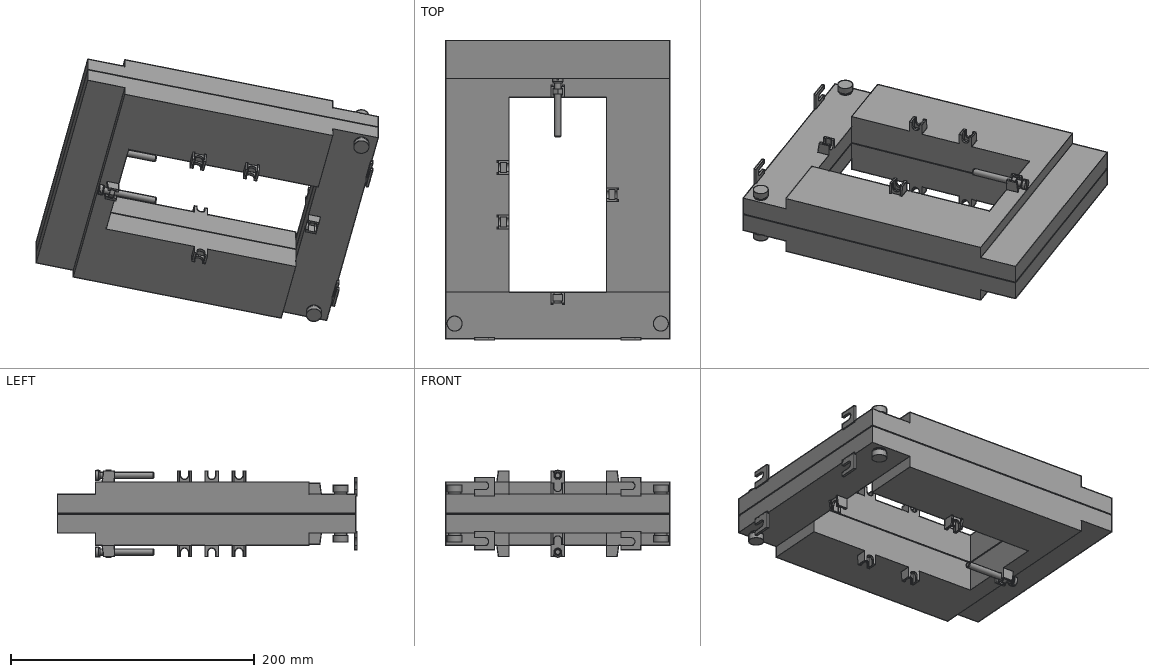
import cadquery as cq
import math


frame_width = 184.0
frame_length = 245.0
flange_top = 16.0
raised_top = 26.0
raised_front = 38.4
raised_back = 213.8
window_width = 80.0
window_back = 198.3
parting_gap = 0.7

bracket_width = 11.3
bracket_height = 9.0
bracket_top_depth = 8.9
bracket_base_depth = 10.0
bracket_wall = 1.6
pocket_start = 2.0
pocket_end = 7.1
screw_slot_radius = 3.2
screw_axis_height = 5.5
side_bracket_y = (raised_front + window_back) / 2
left_bracket_offset = 22.5

knob_x = 84.6
knob_y = 12.5
knob_radius = 6.2
knob_stem_radius = 5.2
knob_stem_height = 1.7
knob_height = 7.5

terminal_x = 60.0
terminal_width = 16.5
terminal_thickness = 2.0
terminal_bottom = 14.5
terminal_top = 29.8
terminal_slot_z = 23.0
terminal_slot_radius = 3.2
terminal_slot_length = 11.5

shank_radius = 2.7
screw_length = 48.0
tip_chamfer = 0.7
head_radius = 4.2
head_thickness = 2.7
shoulder_radius = 4.0
shoulder_thickness = 1.0
driver_slot_width = 1.5
driver_slot_depth = 1.2
nut_across_flats = 7.9
nut_thickness = 4.0
nut_offset = 2.7

screw_z = raised_top + screw_axis_height


def block(x_size, y_start, y_end, z_start, z_end):
    """Box centred on X, given by its limits along Y and Z."""
    box = cq.Workplane("XY").box(x_size, y_end - y_start, z_end - z_start, centered=(True, False, False))
    return box.translate((0, y_start, z_start))


def cylinder_along_y(radius, y_start, y_end, z):
    """Cylinder whose axis runs along Y at height z."""
    solid = cq.Solid.makeCylinder(radius, y_end - y_start, cq.Vector(0, y_start, z), cq.Vector(0, 1, 0))
    return cq.Workplane(obj=solid)


def frame():
    """Flat flange with a raised block, both pierced by the window."""
    flange = block(frame_width, 0, frame_length, parting_gap / 2, flange_top)
    raised = block(frame_width, raised_front, raised_back, flange_top, raised_top)
    window = block(window_width, raised_front, window_back, 0, raised_top)
    return flange.union(raised).cut(window)


def bracket():
    """Bracket standing on Z = 0, its window face on the XZ plane and its depth along +Y."""
    side_profile = [
        (0, 0),
        (bracket_base_depth, 0),
        (bracket_top_depth, bracket_height),
        (0, bracket_height),
    ]
    body = cq.Workplane("YZ").polyline(side_profile).close().extrude(bracket_width / 2, both=True)

    inner_width = bracket_width - 2 * bracket_wall
    body = body.cut(block(inner_width, bracket_top_depth, bracket_base_depth, 0, bracket_height))
    body = body.cut(block(inner_width, pocket_start, pocket_end, 0, bracket_height))

    slot = block(2 * screw_slot_radius, 0, bracket_base_depth, screw_axis_height, bracket_height)
    slot = slot.union(cylinder_along_y(screw_slot_radius, 0, bracket_base_depth, screw_axis_height))
    return body.cut(slot)


def placed_bracket(x, y, z, turn):
    """Bracket turned about Z by the given degrees and set down at a point on the window edge."""
    return bracket().rotate((0, 0, 0), (0, 0, 1), turn).translate((x, y, z))


def knob(x):
    """Round knob on a narrower stem."""
    base = cq.Workplane("XY").workplane(offset=flange_top).center(x, knob_y)
    stem = base.circle(knob_stem_radius).extrude(knob_stem_height)
    grip = base.workplane(offset=knob_stem_height).circle(knob_radius).extrude(knob_height - knob_stem_height)
    return stem.union(grip)


def terminal(x):
    """Upright plate, half sunk in the front face, with a round-ended slot open towards -X."""
    half_thickness = terminal_thickness / 2
    plate = block(terminal_width, -half_thickness, half_thickness, terminal_bottom, terminal_top)
    slot_start = -terminal_width / 2
    arc_centre = slot_start + terminal_slot_length - terminal_slot_radius
    slot = (
        cq.Workplane("XZ")
        .moveTo(slot_start, terminal_slot_z - terminal_slot_radius)
        .lineTo(arc_centre, terminal_slot_z - terminal_slot_radius)
        .threePointArc(
            (arc_centre + terminal_slot_radius, terminal_slot_z),
            (arc_centre, terminal_slot_z + terminal_slot_radius),
        )
        .lineTo(slot_start, terminal_slot_z + terminal_slot_radius)
        .close()
        .extrude(half_thickness, both=True)
    )
    return plate.cut(slot).translate((x, 0, 0))


def upper_housing():
    """Frame with its brackets, knobs and terminals as one solid."""
    window_side = window_width / 2
    brackets = [
        placed_bracket(0, window_back, raised_top, 0),
        placed_bracket(0, raised_front, flange_top, 180),
        placed_bracket(-window_side, side_bracket_y - left_bracket_offset, raised_top, 90),
        placed_bracket(-window_side, side_bracket_y + left_bracket_offset, raised_top, 90),
        placed_bracket(window_side, side_bracket_y, raised_top, -90),
    ]
    housing = frame()
    for item in brackets:
        housing = housing.union(item)
    for side in (-1, 1):
        housing = housing.union(knob(side * knob_x))
        housing = housing.union(terminal(side * terminal_x))
    return housing


def upper_screw():
    """Slotted screw lying in the back bracket, its nut in the bracket pocket."""
    head_end = raised_back
    shoulder_end = head_end - head_thickness
    shoulder_start = shoulder_end - shoulder_thickness
    tip = head_end - screw_length

    shank = cylinder_along_y(shank_radius, tip, shoulder_start, screw_z).faces("<Y").chamfer(tip_chamfer)
    shoulder = cylinder_along_y(shoulder_radius, shoulder_start, shoulder_end, screw_z)
    head = cylinder_along_y(head_radius, shoulder_end, head_end, screw_z)
    driver_slot = block(
        driver_slot_width,
        head_end - driver_slot_depth,
        head_end,
        screw_z - head_radius,
        screw_z + head_radius,
    )

    nut_corner_radius = nut_across_flats / math.sqrt(3)
    corner_angles = [math.radians(90 + 60 * i) for i in range(6)]
    corners = [(nut_corner_radius * math.cos(a), nut_corner_radius * math.sin(a)) for a in corner_angles]
    nut = cq.Workplane("XZ").polyline(corners).close().extrude(-nut_thickness)
    nut = nut.translate((0, window_back + nut_offset, screw_z))

    return shank.union(shoulder).union(head).cut(driver_slot).union(nut)


def both_halves(upper):
    """The upper body and its mirror image below the parting plane."""
    return [upper.val(), upper.mirror("XY").val()]


housings = both_halves(upper_housing())
screws = both_halves(upper_screw())

result = cq.Compound.makeCompound([*housings, *screws])